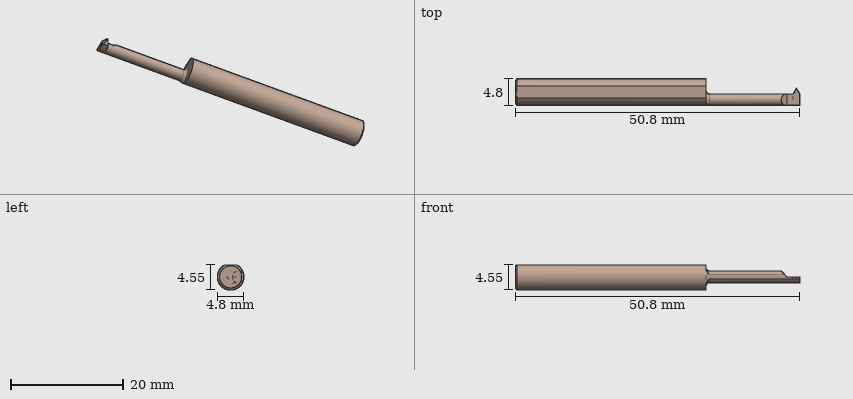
import cadquery as cq
import math

total_length = 50.8
shank_length = 34.05
shank_radius = 2.4
flat_height = 2.15
chamfer_length = 0.25
chamfer_depth = 0.4

neck_radius = 1.05
neck_side_y = -0.3
neck_axis_y = neck_side_y - neck_radius
root_fillet = 0.6

tip_face_start = 48.45
run_out_angle = 47.0
tooth_x = 50.2
tooth_tip_y = 0.7
tooth_angle = 60.0
tooth_clearance_angle = 35.0
tooth_thickness = neck_radius


def make_shank():
    """Round bar with a chamfered rear end and one flat along the top."""
    bar = (
        cq.Workplane("XY")
        .moveTo(0, 0)
        .lineTo(0, shank_radius - chamfer_depth)
        .lineTo(chamfer_length, shank_radius)
        .lineTo(shank_length, shank_radius)
        .lineTo(shank_length, 0)
        .close()
        .revolve(360, (0, 0, 0), (1, 0, 0))
    )
    above_flat = (
        cq.Workplane("XY")
        .workplane(offset=flat_height)
        .rect(2 * total_length, 2 * shank_radius)
        .extrude(shank_radius)
    )
    return bar.cut(above_flat)


def make_neck():
    """Neck with a concave root fillet, kept inside the shank cylinder."""
    arc_offset = root_fillet * (1 - math.sqrt(0.5))
    neck = (
        cq.Workplane("XY", origin=(shank_length, neck_axis_y, 0))
        .moveTo(0, 0)
        .lineTo(0, neck_radius + root_fillet)
        .threePointArc((arc_offset, neck_radius + arc_offset), (root_fillet, neck_radius))
        .lineTo(total_length - shank_length, neck_radius)
        .lineTo(total_length - shank_length, 0)
        .close()
        .revolve(360, (0, 0, 0), (1, 0, 0))
    )
    envelope = cq.Workplane("YZ").circle(shank_radius).extrude(total_length)
    return neck.intersect(envelope)


def make_tip_cutter():
    """Space above the flat cutting face, with a sloping run-out."""
    run_out_length = shank_radius / math.tan(math.radians(run_out_angle))
    return (
        cq.Workplane("XZ")
        .moveTo(tip_face_start, 0)
        .lineTo(total_length, 0)
        .lineTo(total_length, shank_radius)
        .lineTo(tip_face_start - run_out_length, shank_radius)
        .close()
        .extrude(shank_radius, both=True)
    )


def make_tooth():
    """Pointed tooth level with the cutting face; its front leans back below for clearance."""
    root_half_width = (tooth_tip_y - neck_side_y) * math.tan(math.radians(tooth_angle / 2))
    flanks = (
        cq.Workplane("XY")
        .moveTo(tooth_x, tooth_tip_y)
        .lineTo(tooth_x - root_half_width, neck_side_y)
        .lineTo(tooth_x - root_half_width, neck_axis_y)
        .lineTo(tooth_x + root_half_width, neck_axis_y)
        .lineTo(tooth_x + root_half_width, neck_side_y)
        .close()
        .extrude(-tooth_thickness)
    )
    clearance = tooth_thickness * math.tan(math.radians(tooth_clearance_angle))
    side_profile = (
        cq.Workplane("YZ")
        .moveTo(neck_axis_y, 0)
        .lineTo(tooth_tip_y, 0)
        .lineTo(tooth_tip_y - clearance, -tooth_thickness)
        .lineTo(neck_axis_y, -tooth_thickness)
        .close()
        .extrude(total_length)
    )
    return flanks.intersect(side_profile)


neck_with_tip = make_neck().cut(make_tip_cutter()).union(make_tooth())
result = make_shank().union(neck_with_tip)